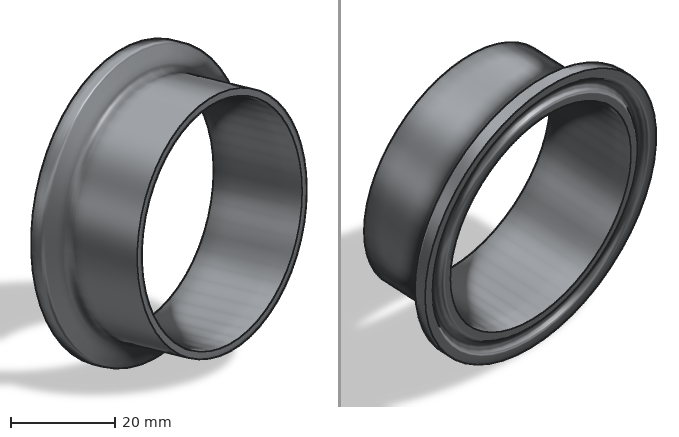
import cadquery as cq
import math

LENGTH = 21.5
FLANGE_RADIUS = 64 / 2
TUBE_RADIUS = 53.0 / 2
BORE_RADIUS = 50.0 / 2

CONE_ANGLE = math.radians(20)
RIM_WIDTH = 2.3
RIM_ROUND = 0.8
NECK_START = 4.3
NECK_END = 6.2
NECK_ROUND = 2.25

GROOVE_RADIUS = 28.35
GROOVE_HALF_WIDTH = 1.9
GROOVE_WALL_ANGLE = math.radians(65)
GROOVE_WALL_LENGTH = 0.4
LIP_ROUND = 0.8


def arc_point(center, radius, angle):
    """Point (x, r) on an arc, with the angle measured from +X toward +r."""
    return (center[0] + radius * math.cos(angle), center[1] + radius * math.sin(angle))


def make_body():
    """Flange and tube revolved from a half section."""
    rim_center = (RIM_WIDTH, FLANGE_RADIUS - RIM_ROUND)
    rim_end = arc_point(rim_center, RIM_ROUND, CONE_ANGLE)

    neck_start_r = rim_end[1] - (NECK_START - rim_end[0]) / math.tan(CONE_ANGLE)

    return (
        cq.Workplane("XY")
        .moveTo(0, BORE_RADIUS)
        .lineTo(0, FLANGE_RADIUS)
        .lineTo(RIM_WIDTH, FLANGE_RADIUS)
        .threePointArc(arc_point(rim_center, RIM_ROUND, (CONE_ANGLE + math.pi / 2) / 2), rim_end)
        .lineTo(NECK_START, neck_start_r)
        .radiusArc((NECK_END, TUBE_RADIUS), -NECK_ROUND)
        .lineTo(LENGTH, TUBE_RADIUS)
        .lineTo(LENGTH, BORE_RADIUS)
        .close()
        .revolve(360, (0, 0, 0), (1, 0, 0))
    )


def make_groove():
    """Groove cutter whose lips are tangent to the face and to the walls."""
    wall_width = GROOVE_WALL_LENGTH * math.cos(GROOVE_WALL_ANGLE)
    wall_depth = GROOVE_WALL_LENGTH * math.sin(GROOVE_WALL_ANGLE)
    radius_sum = (GROOVE_HALF_WIDTH - wall_width) / math.sin(GROOVE_WALL_ANGLE)
    floor_round = radius_sum - LIP_ROUND
    depth = radius_sum * (1 - math.cos(GROOVE_WALL_ANGLE)) + wall_depth

    outer_lip = (LIP_ROUND, GROOVE_RADIUS + GROOVE_HALF_WIDTH)
    inner_lip = (LIP_ROUND, GROOVE_RADIUS - GROOVE_HALF_WIDTH)
    floor_center = (depth - floor_round, GROOVE_RADIUS)

    return (
        cq.Workplane("XY")
        .moveTo(0, outer_lip[1])
        .threePointArc(
            arc_point(outer_lip, LIP_ROUND, math.pi + GROOVE_WALL_ANGLE / 2),
            arc_point(outer_lip, LIP_ROUND, math.pi + GROOVE_WALL_ANGLE),
        )
        .lineTo(*arc_point(floor_center, floor_round, GROOVE_WALL_ANGLE))
        .threePointArc(
            (depth, GROOVE_RADIUS),
            arc_point(floor_center, floor_round, -GROOVE_WALL_ANGLE),
        )
        .lineTo(*arc_point(inner_lip, LIP_ROUND, math.pi - GROOVE_WALL_ANGLE))
        .threePointArc(
            arc_point(inner_lip, LIP_ROUND, math.pi - GROOVE_WALL_ANGLE / 2),
            (0, inner_lip[1]),
        )
        .close()
        .revolve(360, (0, 0, 0), (1, 0, 0))
    )


result = make_body().cut(make_groove())